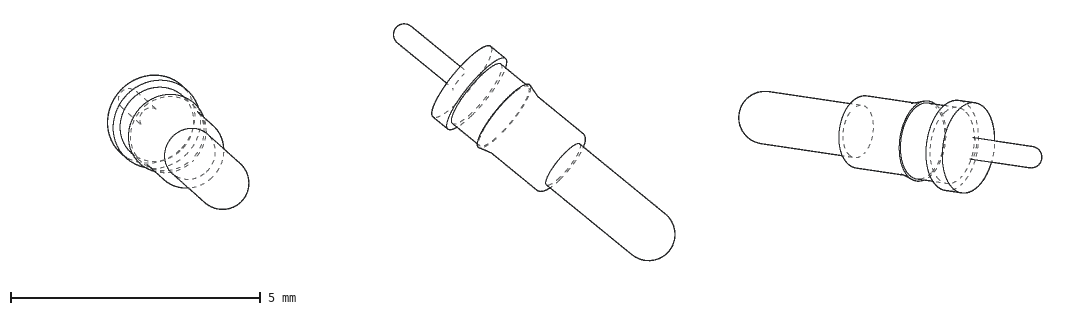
import cadquery as cq

total_length = 7.26
tail_radius = 0.22
tail_length = 1.75
tail_fillet = 0.08

flange_radius = 0.915
flange_length = 0.4

collar_radius = 0.77
collar_length = 0.725

barb_radius = 0.81
barb_length = 0.28

barrel_radius = 0.73
barrel_length = 1.29
barrel_fillet = 0.09

plunger_radius = 0.53

tail_tip = -total_length / 2
flange_start = tail_tip + tail_length
collar_start = flange_start + flange_length
barb_start = collar_start + collar_length
barrel_start = barb_start + barb_length
barrel_end = barrel_start + barrel_length
plunger_tip = total_length / 2

diagonal = 0.5 ** 0.5


def turned_profile():
    """Half section of the pin above its axis."""
    tail_dome_centre = tail_tip + tail_radius
    plunger_dome_centre = plunger_tip - plunger_radius
    fillet_start = flange_start - tail_fillet
    fillet_top = tail_radius + tail_fillet
    fillet_middle = (
        fillet_start + tail_fillet * diagonal,
        fillet_top - tail_fillet * diagonal,
    )
    barrel_fillet_middle = (
        barrel_end - barrel_fillet * (1 - diagonal),
        barrel_radius - barrel_fillet * (1 - diagonal),
    )
    return (
        cq.Workplane("XY")
        .moveTo(tail_tip, 0)
        .threePointArc(
            (tail_dome_centre - tail_radius * diagonal, tail_radius * diagonal),
            (tail_dome_centre, tail_radius),
        )
        .lineTo(fillet_start, tail_radius)
        .threePointArc(fillet_middle, (flange_start, fillet_top))
        .lineTo(flange_start, flange_radius)
        .lineTo(collar_start, flange_radius)
        .lineTo(collar_start, collar_radius)
        .lineTo(barb_start, collar_radius)
        .lineTo(barb_start, barb_radius)
        .lineTo(barrel_start, barrel_radius)
        .lineTo(barrel_end - barrel_fillet, barrel_radius)
        .threePointArc(barrel_fillet_middle, (barrel_end, barrel_radius - barrel_fillet))
        .lineTo(barrel_end, plunger_radius)
        .lineTo(plunger_dome_centre, plunger_radius)
        .threePointArc(
            (plunger_dome_centre + plunger_radius * diagonal, plunger_radius * diagonal),
            (plunger_tip, 0),
        )
        .close()
    )


result = turned_profile().revolve(360, (0, 0, 0), (1, 0, 0))